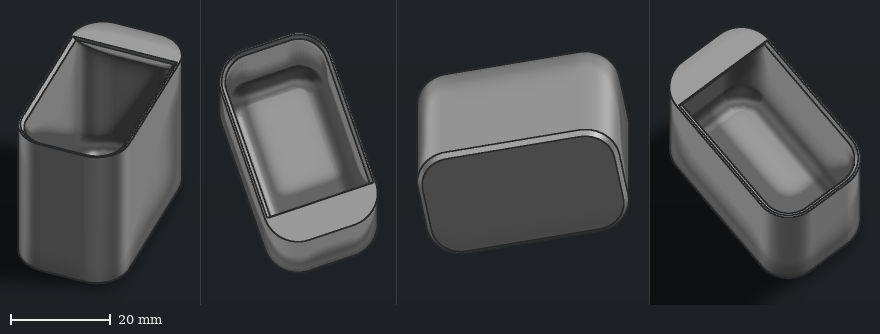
import cadquery as cq

WIDTH = 23.5
LENGTH = 41.2
HEIGHT = 33.7
CORNER_RADIUS = 7.0
BASE_CHAMFER = 1.0

WALL = 1.2
FLOOR = WALL
FLOOR_FILLET = 4.0
INNER_RADIUS = CORNER_RADIUS - WALL
CAVITY_WIDTH = WIDTH - 2 * WALL
CAVITY_LENGTH = LENGTH - 2 * WALL

RIM_BEVEL = 0.75
RIM_BEVEL_ANGLE = 45.0

HOOD_EDGE_Y = LENGTH / 2 - CORNER_RADIUS
HOOD_EDGE_THICKNESS = RIM_BEVEL
HOOD_ROOT_THICKNESS = 7.7


def rounded_outline(width, length, radius):
    return cq.Sketch().rect(width, length).vertices().fillet(radius)


def rounded_prism(width, length, height, radius, base_z):
    """Upright block with rounded vertical edges, centred on the Z axis."""
    outline = rounded_outline(width, length, radius)
    return cq.Workplane("XY").workplane(offset=base_z).placeSketch(outline).extrude(height)


def make_body():
    body = rounded_prism(WIDTH, LENGTH, HEIGHT, CORNER_RADIUS, 0)
    return body.faces("<Z").chamfer(BASE_CHAMFER)


def make_cavity():
    """Void inside the cup: rounded at the floor and widened at the mouth."""
    cavity = rounded_prism(CAVITY_WIDTH, CAVITY_LENGTH, HEIGHT - FLOOR, INNER_RADIUS, FLOOR)
    cavity = cavity.faces("<Z").edges().fillet(FLOOR_FILLET)

    mouth = (
        cq.Workplane("XY")
        .workplane(offset=HEIGHT - RIM_BEVEL)
        .placeSketch(rounded_outline(CAVITY_WIDTH, CAVITY_LENGTH, INNER_RADIUS))
        .extrude(RIM_BEVEL, taper=-RIM_BEVEL_ANGLE)
    )
    return cavity.union(mouth)


def make_hood():
    """Wedge over the +Y end, thickening from its free edge to the back wall."""
    back_wall_y = CAVITY_LENGTH / 2
    profile = [
        (HOOD_EDGE_Y, HEIGHT),
        (HOOD_EDGE_Y, HEIGHT - HOOD_EDGE_THICKNESS),
        (back_wall_y, HEIGHT - HOOD_ROOT_THICKNESS),
        (LENGTH / 2, HEIGHT - HOOD_ROOT_THICKNESS),
        (LENGTH / 2, HEIGHT),
    ]
    return cq.Workplane("YZ").polyline(profile).close().extrude(WIDTH / 2, both=True)


result = make_body().cut(make_cavity().cut(make_hood()))